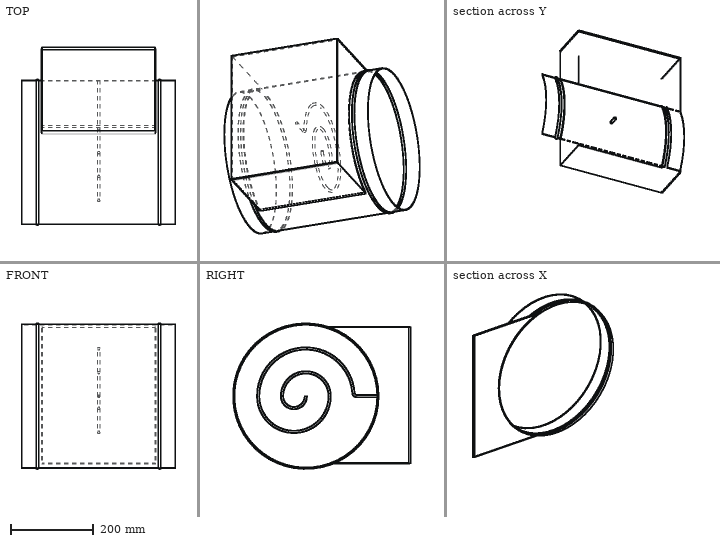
import cadquery as cq
import math

duct_length = 375.0
duct_radius = 175.5
duct_wall = 1.7
duct_bore = duct_radius - duct_wall

bead_diameter = 355.0
bead_radius = bead_diameter / 2
bead_width = 6.5
bead_from_end = 38.5

housing_width = 278.5
overall_depth = 433.5
housing_back = overall_depth - bead_radius
housing_top = 169.5
housing_bottom = -164.7
housing_wall = 2.0
edge_fillet = 1.7
back_chamfer_depth = 5.5
back_chamfer_inset = 1.7

rod_radius = 3.0
spiral_step = 29.0
half_turns = 4
bend_radius = 8.5


def cylinder(radius, length):
    return cq.Workplane("YZ").circle(radius).extrude(length / 2, both=True)


def make_bead(x_center):
    """Ring of sheet bowed outward from the duct wall."""
    left = x_center - bead_width / 2
    right = x_center + bead_width / 2
    return (
        cq.Workplane("XY")
        .moveTo(left, duct_radius)
        .threePointArc((x_center, bead_radius), (right, duct_radius))
        .lineTo(right, duct_bore)
        .threePointArc((x_center, bead_radius - duct_wall), (left, duct_bore))
        .close()
        .revolve(360, (0, 0, 0), (1, 0, 0))
    )


def cut_bead_grooves(duct):
    """Open the duct wall under each bead so the bead is hollow inside."""
    for x_center in bead_centers:
        groove = cylinder(duct_radius, bead_width).cut(cylinder(duct_bore, bead_width))
        duct = duct.cut(groove.translate((x_center, 0, 0)))
    return duct


def make_duct():
    duct = cylinder(duct_radius, duct_length).cut(cylinder(duct_bore, duct_length))
    duct = cut_bead_grooves(duct)
    for x_center in bead_centers:
        duct = duct.union(make_bead(x_center))
    return duct


def bevelled_outline(plane, low, high):
    """Housing outline between two sides, with both back corners bevelled."""
    return cq.Workplane(plane).polyline([
        (low, 0),
        (high, 0),
        (high, housing_back - back_chamfer_depth),
        (high - back_chamfer_inset, housing_back),
        (low + back_chamfer_inset, housing_back),
        (low, housing_back - back_chamfer_depth),
    ]).close()


def make_housing():
    """Closed sheet box, trimmed to sit on the outside of the duct."""
    height = housing_top - housing_bottom
    middle = (housing_top + housing_bottom) / 2
    outside = cq.Workplane("XY").box(housing_width, housing_back, height)
    outside = outside.translate((0, housing_back / 2, middle))
    outside = outside.edges("|Y").fillet(edge_fillet)
    side_bevel = bevelled_outline("XY", -housing_width / 2, housing_width / 2)
    outside = outside.intersect(side_bevel.extrude(duct_length, both=True))
    level_bevel = bevelled_outline("ZY", housing_bottom, housing_top)
    outside = outside.intersect(level_bevel.extrude(duct_length, both=True))

    inside = cq.Workplane("XY").box(
        housing_width - 2 * housing_wall,
        housing_back - back_chamfer_depth,
        height - 2 * housing_wall,
    )
    inside = inside.translate((0, (housing_back - back_chamfer_depth) / 2, middle))
    trim = cylinder(duct_radius - duct_wall / 2, housing_width)
    return outside.cut(inside).cut(trim)


def make_probe():
    """Rod of growing half turns, ending in a bend and a straight run to the duct wall."""
    plane = cq.Plane(origin=(0, 0, 0), xDir=(0, -1, 0), normal=(-1, 0, 0))
    path = cq.Workplane(plane).moveTo(0, 0)
    end = 0
    for turn in range(1, half_turns):
        radius = turn * spiral_step
        side = 1 if turn % 2 else -1
        center = end + side * radius
        path = path.threePointArc((center, -side * radius), (end + side * 2 * radius, 0))
        end += side * 2 * radius

    last_radius = half_turns * spiral_step
    reach = last_radius + bend_radius
    bend_center = -math.sqrt(reach**2 - bend_radius**2)
    touch = last_radius / reach
    path = path.threePointArc((0, last_radius), (bend_center * touch, bend_radius * touch))
    path = path.tangentArcPoint((bend_center, 0), relative=False)
    path = path.lineTo(-(duct_radius - duct_wall / 2), 0)

    section = cq.Workplane("XY").circle(rod_radius)
    return section.sweep(path)


bead_offset = duct_length / 2 - bead_from_end
bead_centers = (-bead_offset, bead_offset)

result = make_duct().union(make_housing()).union(make_probe())